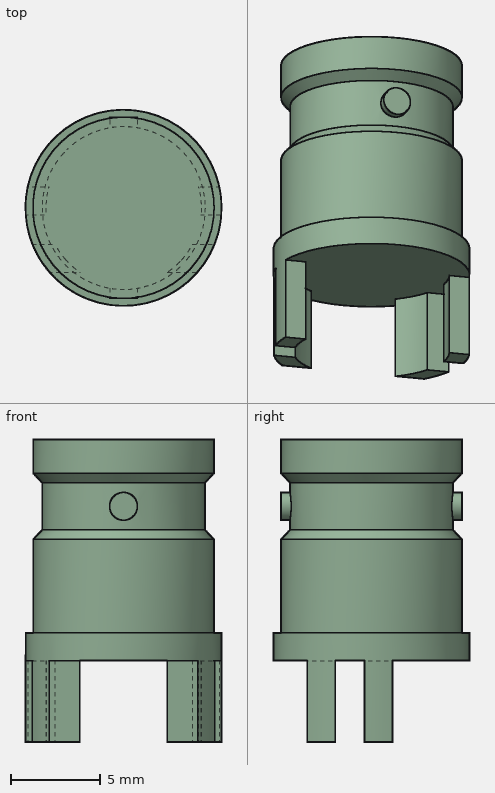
import cadquery as cq

total_height = 16.97
leg_height = 4.57
flange_thickness = 1.56
lower_body_height = 5.23
neck_height = 2.64
taper_height = 0.54

flange_bottom = leg_height
flange_top = flange_bottom + flange_thickness
lower_body_top = flange_top + lower_body_height
neck_bottom = lower_body_top + taper_height
neck_top = neck_bottom + neck_height
cap_bottom = neck_top + taper_height

flange_radius = 5.5
body_radius = 5.08
neck_radius = 4.57

pin_radius = 0.78
pin_height = (neck_bottom + neck_top) / 2
pin_span = 2 * body_radius

leg_inner_radius = 4.36
leg_width = 1.58
front_leg_y = -2.82
rear_leg_y = 0.39


def turned_body():
    """Flange, lower body, tapered neck and cap, revolved about Z."""
    profile = [
        (0, flange_bottom),
        (flange_radius, flange_bottom),
        (flange_radius, flange_top),
        (body_radius, flange_top),
        (body_radius, lower_body_top),
        (neck_radius, neck_bottom),
        (neck_radius, neck_top),
        (body_radius, cap_bottom),
        (body_radius, total_height),
        (0, total_height),
    ]
    return cq.Workplane("XZ").polyline(profile).close().revolve(360, (0, 0, 0), (0, 1, 0))


def neck_pins():
    """One round bar along Y, standing out of the neck at both ends."""
    return (
        cq.Workplane("XZ")
        .center(0, pin_height)
        .circle(pin_radius)
        .extrude(pin_span / 2, both=True)
    )


def leg_band(center_y):
    """Flat band along X, wide enough to cut one leg from each side of the ring."""
    return (
        cq.Workplane("XY")
        .center(0, center_y)
        .rect(2 * flange_radius, leg_width)
        .extrude(flange_top)
    )


def legs():
    """Ring segments below the flange, sunk into it so that they join as one solid."""
    ring = (
        cq.Workplane("XY")
        .circle(flange_radius)
        .circle(leg_inner_radius)
        .extrude(flange_top)
    )
    bands = leg_band(front_leg_y).union(leg_band(rear_leg_y))
    return ring.intersect(bands)


result = turned_body().union(neck_pins()).union(legs())